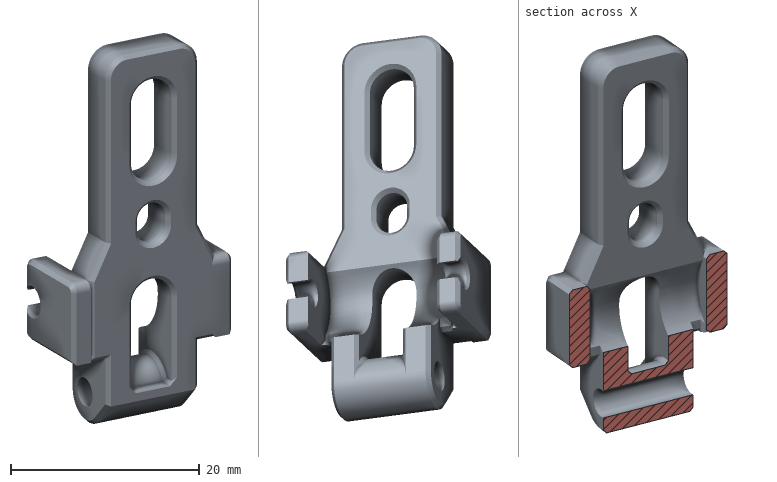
import cadquery as cq
import math


plate_back = 4.72
plate_thickness = 4.5
plate_front = plate_back - plate_thickness
plate_width = 11.3
plate_top = 39.2
plate_corner_radius = 2.4
edge_chamfer = 0.45
flare_top = 18.35

long_slot_width = 5.0
long_slot_length = 11.5
long_slot_center = 30.05
short_slot_width = 3.5
short_slot_length = 4.5
short_slot_center = 19.5

part_width = 19.8
ear_thickness = 2.65
ear_outer = part_width / 2
ear_inner = ear_outer - ear_thickness
ear_depth = 10.12
ear_front = plate_back - ear_depth
ear_bottom = 5.2
ear_height = 9.15
ear_top = ear_bottom + ear_height
ear_corner_radius = 1.0
flare_half_width = ear_inner + edge_chamfer
root_chamfer = 0.35

hook_x = -3.87
hook_z = ear_bottom + ear_height / 2
hook_diameter = 3.0
hook_chamfer = 0.3
hook_mouth = 1.9

lug_radius = 3.15
lug_center_x = 0.15
lug_center_z = -0.35
lug_front = lug_center_x - lug_radius
lug_tangent_x = lug_center_x + lug_radius * math.sqrt(0.5)
lug_tangent_z = lug_center_z - lug_radius * math.sqrt(0.5)
pivot_diameter = 3.2

saddle_radius = 5.4
saddle_x = -3.95
saddle_z = 10.1

window_width = 5.0
window_top = 13.15
window_floor = 0.7
fork_chamfer = 0.4

margin = 1.0

sides = (-1, 1)


def box(x_from, x_to, y_from, y_to, z_from, z_to):
    """Box given by its limits."""
    size = (x_to - x_from, y_to - y_from, z_to - z_from)
    return cq.Workplane("XY").box(*size, centered=False).translate((x_from, y_from, z_from))


def y_cylinder(radius, x, z, half_length):
    """Cylinder along Y, centred on the mid-plane."""
    return cq.Workplane("XZ").center(x, z).circle(radius).extrude(half_length, both=True)


def make_plate():
    """Upright plate, flaring out to the ears, with chamfered long edges."""
    half = plate_width / 2
    plate = (
        cq.Workplane("YZ", origin=(plate_front, 0, 0))
        .moveTo(-half, plate_top)
        .lineTo(half, plate_top)
        .lineTo(half, flare_top)
        .lineTo(flare_half_width, ear_top)
        .lineTo(flare_half_width, ear_bottom)
        .lineTo(-flare_half_width, ear_bottom)
        .lineTo(-flare_half_width, ear_top)
        .lineTo(-half, flare_top)
        .close()
        .extrude(plate_thickness)
    )
    plate = plate.edges("|X and >Z").fillet(plate_corner_radius)
    return plate.faces("<X or >X").chamfer(edge_chamfer)


def make_lug():
    """Hinge lug: flat front, round bottom and a 45 degree flank up to the back face."""
    flank_top = lug_tangent_z + plate_back - lug_tangent_x
    lug = (
        cq.Workplane("XZ")
        .moveTo(lug_front, saddle_z)
        .lineTo(lug_front, lug_center_z)
        .threePointArc(
            (lug_center_x, lug_center_z - lug_radius),
            (lug_tangent_x, lug_tangent_z),
        )
        .lineTo(plate_back, flank_top)
        .lineTo(plate_back, saddle_z)
        .close()
        .extrude(plate_width / 2, both=True)
    )
    return lug.faces("<Y or >Y").chamfer(edge_chamfer)


def make_ear(side):
    """Side ear, rounded at three corners; the -Y ear is chamfered on both faces."""
    y_low, y_high = sorted((side * ear_inner, side * ear_outer))
    ear = box(ear_front, plate_back, y_low, y_high, ear_bottom, ear_top)
    ear = ear.edges("|Y and >Z").fillet(ear_corner_radius)
    ear = ear.edges("|Y and <X and <Z").fillet(ear_corner_radius)
    if side < 0:
        return ear.faces("<Y or >Y").chamfer(edge_chamfer)
    ear = ear.faces(">Y").chamfer(edge_chamfer)
    for edge_z, inward in ((ear_top, -1), (ear_bottom, 1)):
        bevel = (
            cq.Workplane("YZ", origin=(ear_front, 0, 0))
            .moveTo(ear_inner, edge_z)
            .lineTo(ear_inner + edge_chamfer, edge_z)
            .lineTo(ear_inner, edge_z + inward * edge_chamfer)
            .close()
            .extrude(ear_depth)
        )
        ear = ear.cut(bevel)
    return ear


def make_ear_root(side):
    """Filler wedge and corner between the plate and the inner face of an ear."""
    return (
        cq.Workplane("XY", origin=(0, 0, ear_bottom))
        .moveTo(plate_front - root_chamfer, side * ear_inner)
        .lineTo(plate_front, side * (ear_inner - root_chamfer))
        .lineTo(plate_front + edge_chamfer, side * (ear_inner - root_chamfer))
        .lineTo(plate_front + edge_chamfer, side * flare_half_width)
        .lineTo(plate_front - root_chamfer, side * flare_half_width)
        .close()
        .extrude(saddle_z - ear_bottom)
    )


def make_saddle():
    """Cylindrical cutter between the ears."""
    return y_cylinder(saddle_radius, saddle_x, saddle_z, ear_inner)


def make_window_opening(x_from, half, depth, taper=0):
    """Round-topped prism along X, standing on the level of the lug's round centre."""
    spring = window_top - window_width / 2
    return (
        cq.Workplane("YZ", origin=(x_from, 0, 0))
        .moveTo(-half, lug_center_z)
        .lineTo(half, lug_center_z)
        .lineTo(half, spring)
        .threePointArc((0, spring + half), (-half, spring))
        .close()
        .extrude(depth, taper=taper)
    )


def make_arm_bevel():
    """Wedge whose sloping sides bevel the front inner edges of the fork arms."""
    half_width = window_width / 2 + fork_chamfer
    return (
        cq.Workplane("XY", origin=(0, 0, lug_center_z))
        .moveTo(lug_front, -half_width)
        .lineTo(lug_front, half_width)
        .lineTo(lug_front + half_width, 0)
        .close()
        .extrude(ear_bottom - lug_center_z)
    )


def make_collar(side):
    """Cone where the barrel meets a fork arm."""
    collar = cq.Solid.makeCone(
        lug_radius + fork_chamfer,
        lug_radius,
        fork_chamfer,
        cq.Vector(lug_center_x, side * window_width / 2, lug_center_z),
        cq.Vector(0, -side, 0),
    )
    return cq.Workplane(collar)


def make_window_floor():
    """Flat floor behind the barrel, with a sloping strip along each fork arm."""
    flat_half = window_width / 2 - fork_chamfer
    half = window_width / 2 + edge_chamfer
    strip_top = window_floor + half - flat_half
    bottom = lug_center_z - lug_radius
    return (
        cq.Workplane("YZ", origin=(lug_center_x, 0, 0))
        .moveTo(-half, bottom)
        .lineTo(half, bottom)
        .lineTo(half, strip_top)
        .lineTo(flat_half, window_floor)
        .lineTo(-flat_half, window_floor)
        .lineTo(-half, strip_top)
        .close()
        .extrude(plate_back + margin - lug_center_x)
    )


def make_fork_cutter():
    """Window with bevelled edges, leaving out the barrel, its collars and the floor."""
    half = window_width / 2
    front = lug_front - margin
    cutter = make_window_opening(front, half, plate_back + margin - front)
    for side in sides:
        cutter = cutter.cut(make_collar(side))
    cutter = cutter.union(make_arm_bevel())
    back_rim = make_window_opening(plate_back, half + edge_chamfer, -edge_chamfer, taper=45)
    cutter = cutter.union(back_rim)
    barrel = y_cylinder(lug_radius, lug_center_x, lug_center_z, ear_inner)
    return cutter.cut(barrel).cut(make_window_floor())


def make_plate_slot(width, length, center_z):
    """Upright round-ended slot through the plate with both rims chamfered."""
    slot = (
        cq.Workplane("YZ", origin=(plate_front, 0, center_z))
        .slot2D(length, width, 90)
        .extrude(plate_thickness)
    )
    for x, depth in ((plate_front, edge_chamfer), (plate_back, -edge_chamfer)):
        rim = (
            cq.Workplane("YZ", origin=(x, 0, center_z))
            .slot2D(length + 2 * edge_chamfer, width + 2 * edge_chamfer, 90)
            .extrude(depth, taper=45)
        )
        slot = slot.union(rim)
    return slot


def make_hook_holes():
    """Holes through both ears, open to the front and countersunk outside."""
    cutter = y_cylinder(hook_diameter / 2, hook_x, hook_z, part_width)
    mouth = box(
        ear_front - margin,
        hook_x,
        -ear_outer - margin,
        ear_outer + margin,
        hook_z - hook_mouth / 2,
        hook_z + hook_mouth / 2,
    )
    cutter = cutter.union(mouth)
    for side in sides:
        countersink = cq.Solid.makeCone(
            hook_diameter / 2 + hook_chamfer,
            hook_diameter / 2,
            hook_chamfer,
            cq.Vector(hook_x, side * ear_outer, hook_z),
            cq.Vector(0, -side, 0),
        )
        cutter = cutter.union(cq.Workplane(countersink))
    return cutter


body = make_plate().union(make_lug())
for ear_side in sides:
    body = body.union(make_ear_root(ear_side))
body = body.cut(make_saddle())
for ear_side in sides:
    body = body.union(make_ear(ear_side))

body = body.cut(make_fork_cutter())
body = body.cut(y_cylinder(pivot_diameter / 2, 0, 0, part_width))
body = body.cut(make_plate_slot(long_slot_width, long_slot_length, long_slot_center))
body = body.cut(make_plate_slot(short_slot_width, short_slot_length, short_slot_center))
body = body.cut(make_hook_holes())

result = cq.Workplane(body.solids().val())